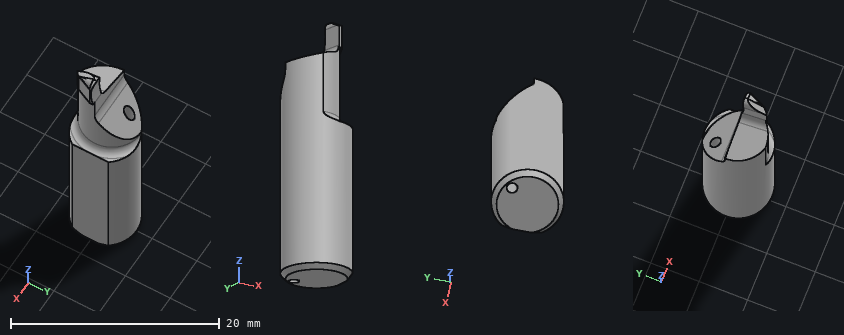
import cadquery as cq
import math


length = 26
shank_radius = 3.497
flat_x = 2.847
end_chamfer = 0.52
coolant_radius = 0.52
coolant_x = -1.45
coolant_y = 1.8

neck_axis_x = -1.2
neck_radius = 3.28
neck_fillet = 0.78
step_z = 15.03

back_y = 0.03
back_corner_z = 20.02
back_angle = 51.3
back_blend = 1.77

shoulder_z = 21.25
shoulder_angle = 15
shoulder_blend = 1.0

head_bottom_z = 22.88
head_left_x = 0.83
head_right_x = 2.4
head_axis_x = -0.52
head_radius = 2.96
land_width = 0.35
relief_angle = 24.8
rake_depth = 0.18
side_relief = 0.066
shoulder_drop = 0.02

nose_radius = (head_right_x - head_left_x) / 2
nose_x = head_left_x + nose_radius
nose_z = length - nose_radius
clearance = 2 * shank_radius


def make_shank():
    """Round bar up to the underside of the head, with its bottom chamfer."""
    return cq.Workplane("XY").circle(shank_radius).extrude(head_bottom_z).faces("<Z").chamfer(end_chamfer)


def neck_relief():
    """Ring that turns the bar down to the eccentric neck, with a fillet at its foot."""
    profile = (
        cq.Workplane("XZ")
        .moveTo(neck_radius, head_bottom_z)
        .lineTo(neck_radius, step_z + neck_fillet)
        .radiusArc((neck_radius + neck_fillet, step_z), -neck_fillet)
        .lineTo(clearance, step_z)
        .lineTo(clearance, head_bottom_z)
        .close()
    )
    return profile.revolve(360, (0, 0), (0, 1)).translate((neck_axis_x, 0, 0))


def head_left_half():
    """Left part of the head, with a round outer side, under the sloping top relief."""
    top_drop = clearance * math.tan(math.radians(relief_angle))
    side = (
        cq.Workplane("YZ", origin=(nose_x, 0, 0))
        .moveTo(back_y, head_bottom_z)
        .lineTo(back_y, length)
        .lineTo(-land_width, length)
        .lineTo(-land_width - clearance, length - top_drop)
        .lineTo(-land_width - clearance, head_bottom_z)
        .close()
        .extrude(-clearance)
    )
    return side.intersect(head_column())


def head_right_half():
    """Right part of the head: a rounded land, then a cone and a flat converging behind it."""
    relief_depth = nose_radius / math.tan(math.radians(relief_angle))
    relief_end_y = -land_width - relief_depth
    land = (
        cq.Workplane("XZ", origin=(0, back_y, 0))
        .moveTo(nose_x, head_bottom_z)
        .lineTo(head_right_x, head_bottom_z)
        .lineTo(head_right_x, nose_z)
        .radiusArc((nose_x, length), -nose_radius)
        .close()
        .extrude(land_width + back_y)
    )
    side_flat = (
        cq.Workplane("XY", origin=(0, 0, head_bottom_z))
        .moveTo(nose_x, -land_width)
        .lineTo(head_right_x, -land_width)
        .lineTo(nose_x, relief_end_y)
        .close()
        .extrude(nose_z - head_bottom_z)
    )
    quarter_cone = (
        cq.Workplane("XY", origin=(nose_x, 0, nose_z))
        .moveTo(0, -land_width)
        .lineTo(nose_radius, -land_width)
        .lineTo(0, relief_end_y)
        .close()
        .revolve(90, (0, relief_end_y), (0, relief_end_y - 0.25))
    )
    return land.union(side_flat).union(quarter_cone)


def head_column():
    """Round column that bounds the back of the head."""
    return (
        cq.Workplane("XY", origin=(head_axis_x, 0, head_bottom_z))
        .circle(head_radius)
        .extrude(length - head_bottom_z)
    )


def back_cut():
    """Removes the +Y half above the slope, blended into the upright face."""
    angle = math.radians(back_angle)
    tangent = back_blend * math.tan((math.pi / 2 - angle) / 2)
    blend_y = back_y + tangent * math.cos(angle)
    blend_z = back_corner_z - tangent * math.sin(angle)
    slope_end_z = back_corner_z - (clearance - back_y) * math.tan(angle)
    return (
        cq.Workplane("YZ", origin=(-clearance, 0, 0))
        .moveTo(back_y, length)
        .lineTo(back_y, back_corner_z + tangent)
        .radiusArc((blend_y, blend_z), -back_blend)
        .lineTo(clearance, slope_end_z)
        .lineTo(clearance, length)
        .close()
        .extrude(2 * clearance)
    )


def shoulder_cut():
    """Clears the left of the head, sloping shoulder and nose, relieved toward -Y."""
    angle = math.radians(shoulder_angle)
    blend_x = head_left_x - shoulder_blend * (1 - math.sin(angle))
    blend_z = shoulder_z + (blend_x + shank_radius) * math.tan(angle)
    wall_z = blend_z + shoulder_blend * math.cos(angle)
    outer_z = shoulder_z - (clearance - shank_radius) * math.tan(angle)
    relief = cq.Plane(origin=(0, 0, 0), xDir=(1, side_relief, 0),
                      normal=(side_relief, -1, -shoulder_drop))
    return (
        cq.Workplane(relief)
        .moveTo(-clearance, outer_z)
        .lineTo(blend_x, blend_z)
        .radiusArc((head_left_x, wall_z), -shoulder_blend)
        .lineTo(head_left_x, nose_z)
        .radiusArc((nose_x, length), nose_radius)
        .lineTo(nose_x, length + clearance)
        .lineTo(-clearance, length + clearance)
        .close()
        .extrude(clearance, both=True)
    )


def rake_cut():
    """Shallow hollow across the cutting face."""
    middle_z = (head_bottom_z + length) / 2
    return (
        cq.Workplane("YZ", origin=(-clearance, 0, 0))
        .moveTo(back_y, length)
        .threePointArc((-rake_depth, middle_z), (back_y, head_bottom_z))
        .close()
        .extrude(2 * clearance)
    )


def flat_cut():
    """Flat along the +X side of the shank."""
    block = cq.Workplane("XY").box(clearance, 2 * clearance, length, centered=(False, True, False))
    return block.translate((flat_x, 0, 0))


def coolant_hole():
    """Through hole parallel to the shank axis."""
    return cq.Workplane("XY").center(coolant_x, coolant_y).circle(coolant_radius).extrude(length)


result = make_shank().cut(neck_relief()).union(head_left_half()).union(head_right_half())
for cutter in (flat_cut, back_cut, shoulder_cut, rake_cut, coolant_hole):
    result = result.cut(cutter())